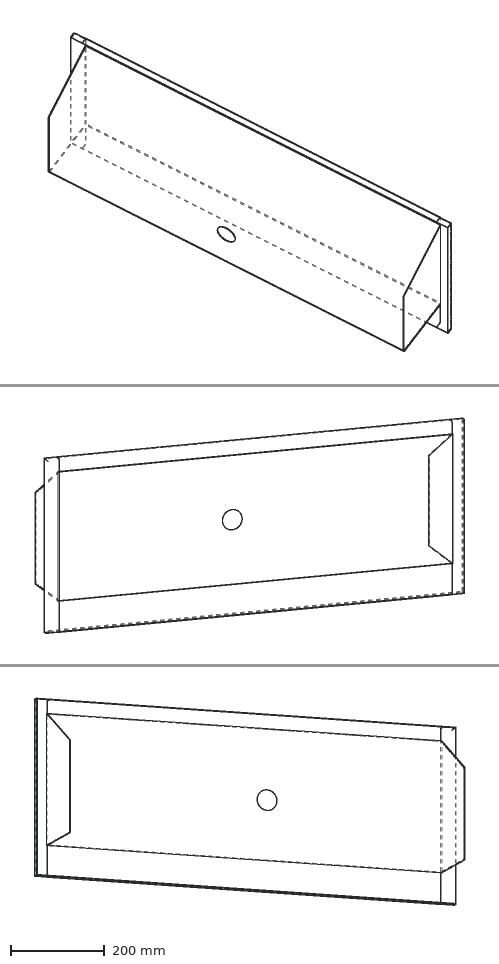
import cadquery as cq
import math

LENGTH = 950.0
DEPTH = 150.0
HEIGHT = 386.0

SHEET = 2.0
MIDDLE_BEND_RADIUS = 3.0
END_BEND_RADIUS = 5.0

LIP_DEPTH = 16.0
END_FLANGE_WIDTH = 28.0

SLOPE_ANGLE = math.radians(30.0)
TROUGH_BACK_TOP = 165.0
TROUGH_BOTTOM = -123.5
DRAIN_DIAMETER = 45.0
DRAIN_HEIGHT = -23.0

Y_FRONT = -DEPTH / 2
Y_BACK = DEPTH / 2
Y_LIP = Y_BACK - LIP_DEPTH
HALF_LENGTH = LENGTH / 2
HALF_HEIGHT = HEIGHT / 2
HALF_TROUGH = HALF_LENGTH - END_FLANGE_WIDTH
HALF_MIDDLE = HALF_TROUGH - SHEET


def block(x_range, y_range, z_range):
    """Box filling the given (low, high) range on each axis."""
    corner = (x_range[0], y_range[0], z_range[0])
    sizes = [high - low for low, high in (x_range, y_range, z_range)]
    return cq.Workplane("XY").box(*sizes, centered=False).translate(corner)


def trough_prism(x_range, inset, bend_radius):
    """Solid trough, moved inwards by inset from its outer faces, with its front edges rounded."""
    y_front = Y_FRONT + inset
    top_at_back = TROUGH_BACK_TOP - inset / math.cos(SLOPE_ANGLE)
    top_at_front = top_at_back - (Y_BACK - y_front) * math.tan(SLOPE_ANGLE)
    bottom = TROUGH_BOTTOM + inset
    prism = (
        cq.Workplane("YZ", origin=(x_range[0], 0, 0))
        .moveTo(Y_BACK, top_at_back)
        .lineTo(y_front, top_at_front)
        .lineTo(y_front, bottom)
        .lineTo(Y_BACK, bottom)
        .close()
        .extrude(x_range[1] - x_range[0])
    )
    return prism.faces("<Y").edges("|X").fillet(bend_radius)


def make_middle():
    """Middle panel: lips, back flanges and the trough folded from one sheet."""
    x_range = (-HALF_MIDDLE, HALF_MIDDLE)
    inner_radius = MIDDLE_BEND_RADIUS - SHEET
    inner_top = HALF_HEIGHT - SHEET
    rim = block(x_range, (Y_LIP, Y_BACK), (-HALF_HEIGHT, HALF_HEIGHT))
    rim = rim.faces(">Y").edges("|X").fillet(MIDDLE_BEND_RADIUS)
    recess = block(x_range, (Y_LIP, Y_BACK - SHEET), (-inner_top, inner_top))
    recess = recess.faces(">Y").edges("|X").fillet(inner_radius)
    panel = rim.cut(recess)
    panel = panel.union(trough_prism(x_range, 0, MIDDLE_BEND_RADIUS))
    panel = panel.cut(trough_prism(x_range, SHEET, inner_radius))
    front_wall = cq.Workplane("XZ", origin=(0, Y_FRONT + SHEET, DRAIN_HEIGHT))
    return panel.cut(front_wall.circle(DRAIN_DIAMETER / 2).extrude(SHEET))


def make_left_end():
    """End panel: an upright trough wall, its back flange and lips on three sides."""
    inner_radius = END_BEND_RADIUS - SHEET
    inner_top = HALF_HEIGHT - SHEET
    rim = block((-HALF_LENGTH, -HALF_MIDDLE), (Y_LIP, Y_BACK), (-HALF_HEIGHT, HALF_HEIGHT))
    rim = rim.faces(">Y").edges("|X or <X").fillet(END_BEND_RADIUS)
    recess = block((-HALF_LENGTH + SHEET, -HALF_MIDDLE), (Y_LIP, Y_BACK - SHEET), (-inner_top, inner_top))
    recess = recess.faces(">Y").edges("|X or <X").fillet(inner_radius)
    wall = trough_prism((-HALF_TROUGH, -HALF_MIDDLE), 0, MIDDLE_BEND_RADIUS)
    return rim.cut(recess).union(wall)


middle = make_middle()
left_end = make_left_end()
right_end = left_end.mirror("YZ")

result = cq.Compound.makeCompound([middle.val(), left_end.val(), right_end.val()])